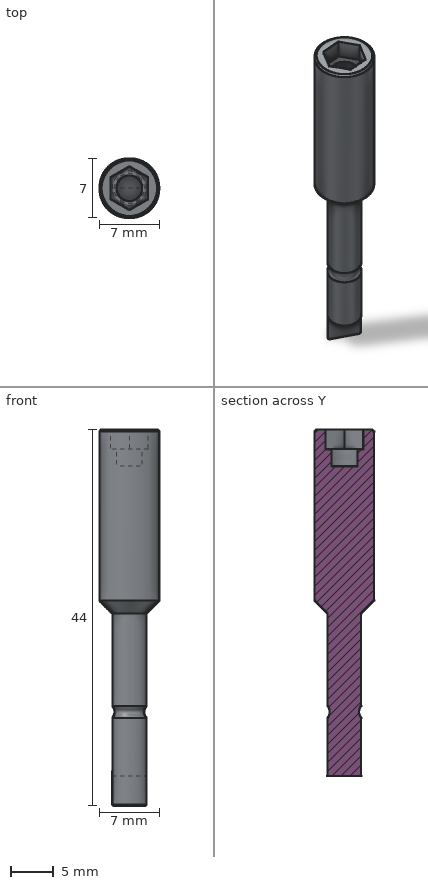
import cadquery as cq
import math

total_length = 44.0
head_diameter = 7.0
head_length = 20.0
rim_chamfer_width = 0.25
rim_chamfer_height = 0.25

shank_diameter = 4.0
tip_chamfer_width = 0.2
tip_chamfer_height = 0.2

groove_center_z = 11.0
groove_arc_radius = 1.15
groove_depth = 0.25

flat_length = 3.5

hex_across_flats = 4.4
hex_depth = 2.3
bore_diameter = 3.0
bore_depth = 2.0

head_radius = head_diameter / 2
shank_radius = shank_diameter / 2
head_bottom_z = total_length - head_length
cone_height = head_radius - shank_radius
cone_bottom_z = head_bottom_z - cone_height
groove_axis_radius = shank_radius - groove_depth + groove_arc_radius
groove_half_width = math.sqrt(groove_arc_radius**2 - (groove_arc_radius - groove_depth) ** 2)


def make_body():
    """Turned body: chamfered tip, grooved shank, conical shoulder and head."""
    return (
        cq.Workplane("XZ")
        .moveTo(0, 0)
        .lineTo(shank_radius - tip_chamfer_width, 0)
        .lineTo(shank_radius, tip_chamfer_height)
        .lineTo(shank_radius, groove_center_z - groove_half_width)
        .threePointArc(
            (groove_axis_radius - groove_arc_radius, groove_center_z),
            (shank_radius, groove_center_z + groove_half_width),
        )
        .lineTo(shank_radius, cone_bottom_z)
        .lineTo(head_radius, head_bottom_z)
        .lineTo(head_radius, total_length - rim_chamfer_height)
        .lineTo(head_radius - rim_chamfer_width, total_length)
        .lineTo(0, total_length)
        .close()
        .revolve(360, (0, 0, 0), (0, 1, 0))
    )


def make_socket():
    """Hexagonal recess with corners on the Y axis, plus the bore below it."""
    hex_circumscribed_diameter = hex_across_flats / math.cos(math.pi / 6)
    hexagon = (
        cq.Workplane("XY", origin=(0, 0, total_length - hex_depth))
        .transformed(rotate=(0, 0, 90))
        .polygon(6, hex_circumscribed_diameter)
        .extrude(hex_depth)
    )
    bore = (
        cq.Workplane("XY", origin=(0, 0, total_length - hex_depth - bore_depth))
        .circle(bore_diameter / 2)
        .extrude(bore_depth)
    )
    return hexagon.union(bore)


def make_tip_cut():
    """Block that removes the +Y half of the shank tip."""
    return cq.Workplane("XY").box(
        shank_diameter, shank_diameter, flat_length, centered=(True, False, False)
    )


result = make_body().cut(make_socket()).cut(make_tip_cut())